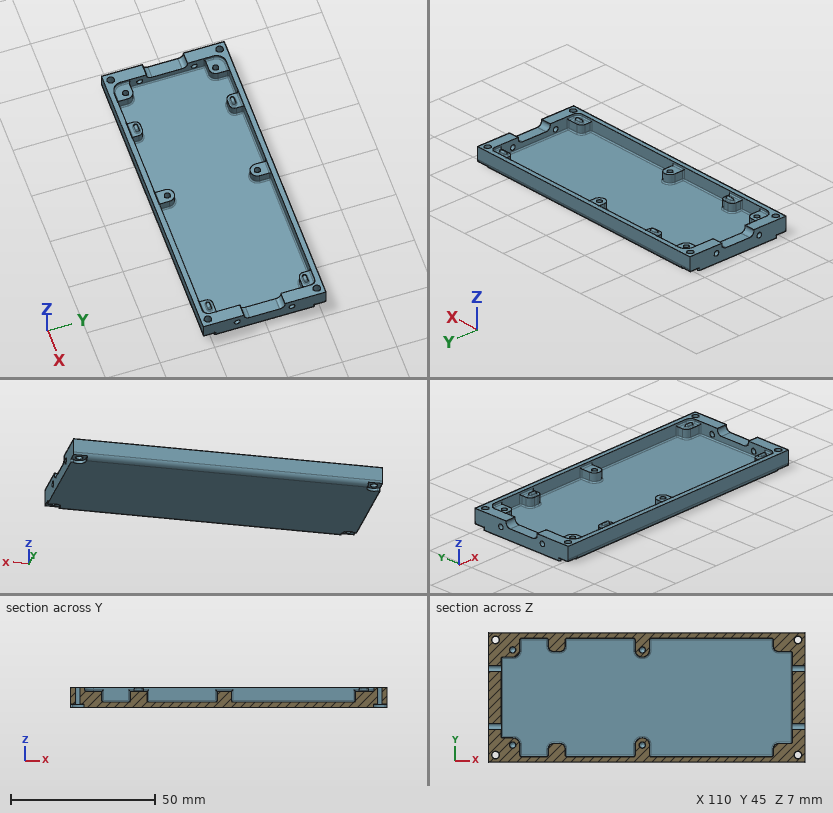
import cadquery as cq
import math

LENGTH = 110.0
WIDTH = 45.0
HEIGHT = 7.0
BOTTOM_EDGE_RADIUS = 2.0

END_RIM = 4.5
SIDE_RIM = 2.0
FLOOR = 2.0
LEFT_POCKET_RADIUS = 3.5
RIGHT_POCKET_RADIUS = 2.2
INNER_FILLET = 0.5

POST_HEIGHT = 3.7
POST_RADIUS = 2.5
POST_HOLE_DIAMETER = 2.1
DRILL_POINT_ANGLE = 118.0
POST_X_POSITIONS = (-46.5, -1.5)
POST_Y = 16.5

KEY_POST_WIDTH = 5.9
KEY_POST_DEPTH = 4.6
KEY_POST_RADIUS = 2.0
KEY_X_POSITIONS = (-31.2, 46.9)
KEY_Y = 17.7
KEY_LENGTH = 3.3
KEY_WIDTH = 1.3
KEY_HEIGHT = 1.1
KEY_BASE_FILLET = 0.38

CORNER_HOLE_DIAMETER = 2.5
CORNER_INSET = 2.5
RELIEF_RADIUS = 2.4
RELIEF_DEPTH = 1.1
RELIEF_LIP_RADIUS = 0.5

NOTCH_WIDTH = 15.0
NOTCH_DEPTH = 2.4
NOTCH_RADIUS = 2.0
END_HOLE_DIAMETER = 2.1
END_HOLE_SPACING = 20.0
END_HOLE_Z = 4.0

POCKET_HALF_LENGTH = LENGTH / 2 - END_RIM
POCKET_HALF_WIDTH = WIDTH / 2 - SIDE_RIM
POST_TOP = FLOOR + POST_HEIGHT
TOLERANCE = 0.01
CORNER_ZONE = 1.6


def both_sides(solid):
    """A solid joined with its mirror image across the XZ plane."""
    return solid.union(solid.mirror("XZ"))


def make_body():
    body = cq.Workplane("XY").box(LENGTH, WIDTH, HEIGHT, centered=(True, True, False))
    return body.edges("<Z and |X").fillet(BOTTOM_EDGE_RADIUS)


def make_pocket():
    pocket = (
        cq.Workplane("XY", origin=(0, 0, FLOOR))
        .rect(2 * POCKET_HALF_LENGTH, 2 * POCKET_HALF_WIDTH)
        .extrude(HEIGHT - FLOOR)
    )
    pocket = pocket.edges("|Z and <X").fillet(LEFT_POCKET_RADIUS)
    return pocket.edges("|Z and >X").fillet(RIGHT_POCKET_RADIUS)


def make_block(x_min, x_max, y_min):
    """A block of post height from y_min to beyond the +Y pocket wall."""
    y_max = WIDTH / 2
    return (
        cq.Workplane("XY", origin=((x_min + x_max) / 2, (y_min + y_max) / 2, FLOOR))
        .rect(x_max - x_min, y_max - y_min)
        .extrude(POST_HEIGHT)
    )


def make_screw_posts():
    corner_x, middle_x = POST_X_POSITIONS
    corner = make_block(-LENGTH / 2, corner_x + POST_RADIUS, POST_Y - POST_RADIUS)
    corner = corner.edges("|Z and >X and <Y").fillet(POST_RADIUS)
    middle = make_block(middle_x - POST_RADIUS, middle_x + POST_RADIUS, POST_Y)
    round_end = cq.Workplane("XY", origin=(middle_x, POST_Y, FLOOR)).circle(POST_RADIUS).extrude(POST_HEIGHT)
    return both_sides(corner.union(middle).union(round_end))


def make_key_posts():
    left_x, right_x = KEY_X_POSITIONS
    half_width = KEY_POST_WIDTH / 2
    post_end = POCKET_HALF_WIDTH - KEY_POST_DEPTH
    left = make_block(left_x - half_width, left_x + half_width, post_end)
    left = left.edges("|Z and <Y").fillet(KEY_POST_RADIUS)
    right = make_block(right_x - half_width, LENGTH / 2, post_end)
    right = right.edges("|Z and <X and <Y").fillet(KEY_POST_RADIUS)
    return both_sides(left.union(right))


def is_hollow_edge(edge):
    """True for cavity edges that become inside corners of the tray."""
    box = edge.BoundingBox()
    middle = edge.positionAt(0.5)
    side_gap = POCKET_HALF_WIDTH - abs(middle.y)
    end_gap = POCKET_HALF_LENGTH - abs(middle.x)
    on_wall = min(side_gap, end_gap) < TOLERANCE
    in_corner = max(side_gap, end_gap) < CORNER_ZONE
    on_floor = box.zmax < FLOOR + TOLERANCE
    below_post_top = box.zmax < POST_TOP + TOLERANCE
    return on_floor or (below_post_top and (on_wall or in_corner))


def make_cavity():
    """The hollow of the tray, rounded where its surfaces meet in inside corners."""
    cavity = make_pocket().cut(make_screw_posts()).cut(make_key_posts())
    hollow = [edge for edge in cavity.edges().vals() if is_hollow_edge(edge)]
    return cavity.newObject(hollow).fillet(INNER_FILLET)


def make_post_holes():
    """Drilled holes: straight for most of the post, then a cone down to the floor level."""
    radius = POST_HOLE_DIAMETER / 2
    cone_depth = radius / math.tan(math.radians(DRILL_POINT_ANGLE / 2))
    profile = (
        cq.Workplane("XZ")
        .moveTo(0, FLOOR)
        .lineTo(radius, FLOOR + cone_depth)
        .lineTo(radius, POST_TOP)
        .lineTo(0, POST_TOP)
        .close()
    )
    hole = profile.revolve(360, (0, 0), (0, 1))
    holes = cq.Workplane("XY")
    for x in POST_X_POSITIONS:
        holes = holes.union(hole.translate((x, POST_Y, 0)))
    return both_sides(holes)


def make_key():
    """A pill-shaped stem with a rounded top that flares out into the top of its post."""
    dome_radius = KEY_WIDTH / 2
    dome_z = POST_TOP + KEY_HEIGHT - dome_radius
    straight = KEY_LENGTH - KEY_WIDTH
    foot_length = KEY_LENGTH + 2 * KEY_BASE_FILLET + TOLERANCE
    foot_width = KEY_WIDTH + 2 * KEY_BASE_FILLET + TOLERANCE
    foot = (
        cq.Workplane("XY", origin=(0, 0, POST_TOP - INNER_FILLET))
        .slot2D(foot_length, foot_width)
        .extrude(INNER_FILLET)
    )
    stem = (
        cq.Workplane("XY", origin=(0, 0, POST_TOP))
        .slot2D(KEY_LENGTH, KEY_WIDTH)
        .extrude(dome_z - POST_TOP)
    )
    key = foot.union(stem)
    stem_foot = cq.selectors.BoxSelector(
        (-KEY_LENGTH / 2 - TOLERANCE, -KEY_WIDTH / 2 - TOLERANCE, POST_TOP - TOLERANCE),
        (KEY_LENGTH / 2 + TOLERANCE, KEY_WIDTH / 2 + TOLERANCE, POST_TOP + TOLERANCE),
        boundingbox=True,
    )
    key = key.edges(stem_foot).fillet(KEY_BASE_FILLET)
    ridge = cq.Workplane("YZ", origin=(-straight / 2, 0, dome_z)).circle(dome_radius).extrude(straight)
    for side in (1, -1):
        ridge = ridge.union(cq.Workplane("XY", origin=(side * straight / 2, 0, dome_z)).sphere(dome_radius))
    below_dome = cq.Workplane("XY").box(LENGTH, WIDTH, dome_z, centered=(True, True, False))
    return key.union(ridge.cut(below_dome))


def make_keys():
    key = make_key()
    keys = cq.Workplane("XY")
    for x in KEY_X_POSITIONS:
        keys = keys.union(key.translate((x, KEY_Y, 0)))
    return both_sides(keys)


def make_corner_relief():
    """Clearance open at both outer sides of the -X, -Y corner, rounded about its hole."""
    reach = RELIEF_RADIUS + RELIEF_LIP_RADIUS
    lip_run = CORNER_INSET - RELIEF_LIP_RADIUS
    lip_rise = math.sqrt(reach**2 - lip_run**2)
    share = RELIEF_RADIUS / reach
    lip_y = CORNER_INSET + lip_rise
    contact = (CORNER_INSET - lip_run * share, CORNER_INSET + lip_rise * share)
    half_angle = math.atan2(lip_rise, lip_run) / 2
    lip_middle = (
        RELIEF_LIP_RADIUS - RELIEF_LIP_RADIUS * math.cos(half_angle),
        lip_y - RELIEF_LIP_RADIUS * math.sin(half_angle),
    )
    inner = CORNER_INSET + RELIEF_RADIUS
    relief = (
        cq.Workplane("XY")
        .lineTo(inner, 0)
        .lineTo(inner, CORNER_INSET)
        .threePointArc((CORNER_INSET, inner), contact)
        .threePointArc(lip_middle, (0, lip_y))
        .close()
        .extrude(RELIEF_DEPTH)
    )
    return relief.translate((-LENGTH / 2, -WIDTH / 2, 0))


def cut_corners(tray):
    holes = (
        cq.Workplane("XY")
        .rect(LENGTH - 2 * CORNER_INSET, WIDTH - 2 * CORNER_INSET, forConstruction=True)
        .vertices()
        .circle(CORNER_HOLE_DIAMETER / 2)
        .extrude(HEIGHT)
    )
    reliefs = both_sides(make_corner_relief())
    reliefs = reliefs.union(reliefs.mirror("YZ"))
    return tray.cut(holes).cut(reliefs)


def cut_ends(tray):
    notch = (
        cq.Workplane("XY", origin=(0, 0, HEIGHT - NOTCH_DEPTH))
        .rect(LENGTH, NOTCH_WIDTH)
        .extrude(HEIGHT)
    )
    notch = notch.edges("<Z and |X").fillet(NOTCH_RADIUS)
    hole_points = [(side * END_HOLE_SPACING / 2, END_HOLE_Z) for side in (1, -1)]
    holes = (
        cq.Workplane("YZ", origin=(-LENGTH / 2, 0, 0))
        .pushPoints(hole_points)
        .circle(END_HOLE_DIAMETER / 2)
        .extrude(LENGTH)
    )
    return tray.cut(notch).cut(holes)


tray = make_body().cut(make_cavity())
tray = tray.cut(make_post_holes())
tray = tray.union(make_keys())
tray = cut_corners(tray)
result = cut_ends(tray)